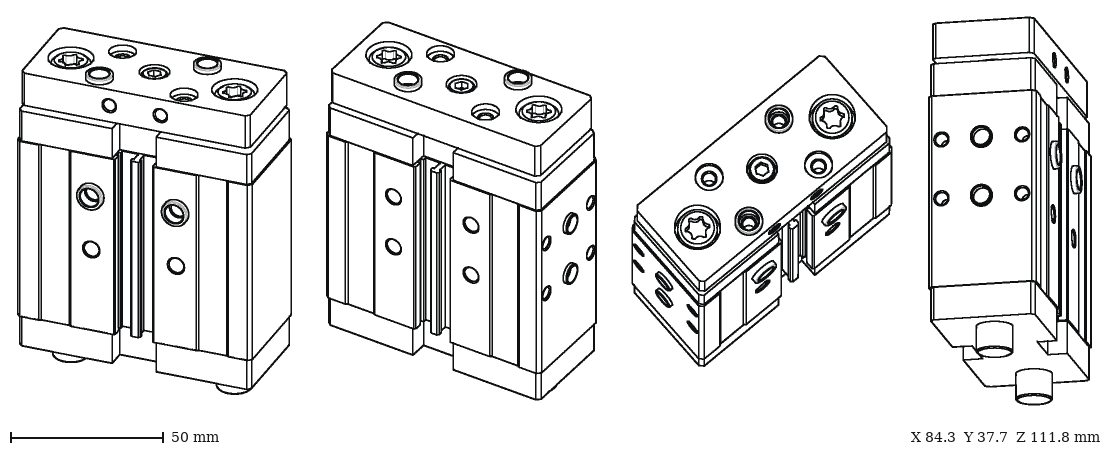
import cadquery as cq
import math


rod_bottom_z = 0.0
rod_stick_out = 8.9
cap_height = 11.1
barrel_height = 65.0
yoke_gap = 2.0
yoke_height = 12.0
bottom_cap_z = rod_bottom_z + rod_stick_out
barrel_z = bottom_cap_z + cap_height
top_cap_z = barrel_z + barrel_height
yoke_z = top_cap_z + cap_height + yoke_gap
yoke_top_z = yoke_z + yoke_height
overall_height = 111.8

barrel_width = 83.0
barrel_depth = 36.0
barrel_chamfer = 1.2
cap_width = 82.0
cap_depth = 35.0
cap_chamfer = 1.2
yoke_width = 80.7
yoke_depth = 34.0
yoke_chamfer = 1.3

cap_slot_width = 15.5
slot_floor_y = 11.5
cap_slot_floor_y = 11.0
slot_lip_half = 6.6
slot_room_half = 7.6
lip_thickness = 3.2
lip_chamfer = 0.5
slot_foot_y = 12.9
rail_stem_half = 1.0
rail_head_half = 1.7
rail_front_y = 16.9
rail_head_length = 1.8
rail_head_chamfer = 0.6

panel_inner_x = 22.1
panel_outer_x = 33.5
panel_depth = 0.5
panel_slope = 0.8

guide_rod_x = 29.0
guide_rod_y = -1.5
guide_rod_diameter = 12.0
guide_rod_chamfer = 0.5
piston_rod_diameter = 7.7
guide_recess_diameter = 15.0
guide_recess_depth = 6.7
guide_head_diameter = 13.0
guide_head_chamfer = 1.0
guide_head_drop = 0.8
lobe_tip_radius = 4.0
lobe_valley_radius = 2.9
lobe_flank_radius = 3.7
lobe_flank_angle = 9.0
lobe_count = 6
lobe_depth = 3.4
piston_recess_diameter = 10.0
piston_recess_depth = 5.6
piston_head_diameter = 8.5
piston_head_chamfer = 0.5
piston_head_drop = 0.6
hex_across_flats = 4.0
hex_depth = 2.5

thread_core_diameter = 4.1
thread_mouth_diameter = 5.0
thread_depth = 8.9
drill_point_angle = 118.0
mount_hole_x = 15.0
through_hole_diameter = 5.3
through_mouth_diameter = 6.0
yoke_hole_ys = (9.0, -11.0)
yoke_side_hole_x = 9.0
upper_hole_z = 70.0
hole_pitch_z = 20.0
hole_zs = (upper_hole_z, upper_hole_z - hole_pitch_z)
side_hole_y = 13.5

large_sleeve_rounding = 0.3
large_sleeve_mouth = 0.2
large_sleeve_diameter = 9.0
large_sleeve_bore = 6.5
large_sleeve_stick_out = overall_height - yoke_top_z
large_recess_depth = 2.2
small_sleeve_diameter = 7.0
small_sleeve_bore = 5.9
small_sleeve_stick_out = 1.3
small_sleeve_edge = 0.2
small_recess_depth = 1.1

UP = cq.Vector(0, 0, 1)
DOWN = cq.Vector(0, 0, -1)
INTO_FRONT = cq.Vector(0, 1, 0)
INTO_BACK = cq.Vector(0, -1, 0)
INTO_SIDE = cq.Vector(1, 0, 0)
barrel_front_y = -barrel_depth / 2
barrel_side_x = -barrel_width / 2


def chamfered_block(width, depth, height, chamfer, bottom_z):
    """Upright block with chamfered vertical edges."""
    block = cq.Workplane("XY").box(width, depth, height, centered=(True, True, False))
    return block.edges("|Z").chamfer(chamfer).translate((0, 0, bottom_z))


def rod(diameter, length, start, direction):
    """Plain cylinder from a start point along a direction."""
    return cq.Workplane(cq.Solid.makeCylinder(diameter / 2, length, cq.Vector(*start), direction))


def cone(start_diameter, end_diameter, length, start, direction):
    return cq.Workplane(
        cq.Solid.makeCone(start_diameter / 2, end_diameter / 2, length, cq.Vector(*start), direction)
    )


def countersink(mouth_diameter, core_diameter, start, direction):
    """45 degree cone at the mouth of a hole."""
    return cone(mouth_diameter, core_diameter, (mouth_diameter - core_diameter) / 2, start, direction)


def threaded_hole(start, direction):
    """Cutter for a blind hole with a countersunk mouth and a drill point."""
    point_length = thread_core_diameter / 2 / math.tan(math.radians(drill_point_angle / 2))
    end = cq.Vector(*start) + direction * thread_depth
    return (
        rod(thread_core_diameter, thread_depth, start, direction)
        .union(countersink(thread_mouth_diameter, thread_core_diameter, start, direction))
        .union(cone(thread_core_diameter, 0, point_length, end.toTuple(), direction))
    )


def mirrored_in_x(half):
    return half.union(half.mirror("YZ"))


def front_and_back(front):
    return front.union(front.mirror("XZ"))


def barrel_slot():
    """Cutter for the front slot: lips, a wider room and a narrow foot around a T-shaped rail."""
    face_y = barrel_front_y
    lip_back_y = face_y + lip_thickness
    rail_head_back_y = -rail_front_y + rail_head_length
    half_outline = [
        (0, face_y),
        (slot_lip_half + lip_chamfer, face_y),
        (slot_lip_half, face_y + lip_chamfer),
        (slot_lip_half, lip_back_y),
        (slot_room_half, lip_back_y),
        (slot_room_half, -slot_foot_y),
        (slot_lip_half, -slot_foot_y),
        (slot_lip_half, -slot_floor_y),
        (rail_stem_half, -slot_floor_y),
        (rail_stem_half, rail_head_back_y),
        (rail_head_half, rail_head_back_y),
        (rail_head_half, -rail_front_y + rail_head_chamfer),
        (rail_head_half - rail_head_chamfer, -rail_front_y),
        (0, -rail_front_y),
    ]
    half = cq.Workplane("XY").workplane(offset=barrel_z).polyline(half_outline).close()
    return mirrored_in_x(half.extrude(barrel_height))


def barrel_panel():
    """Cutter for one shallow panel with sloping sides on the front face."""
    floor_y = barrel_front_y + panel_depth
    outline = [
        (panel_inner_x, barrel_front_y),
        (panel_outer_x, barrel_front_y),
        (panel_outer_x - panel_slope, floor_y),
        (panel_inner_x + panel_slope, floor_y),
    ]
    return cq.Workplane("XY").workplane(offset=barrel_z).polyline(outline).close().extrude(barrel_height)


def make_barrel():
    barrel = chamfered_block(barrel_width, barrel_depth, barrel_height, barrel_chamfer, barrel_z)
    barrel = barrel.cut(front_and_back(barrel_slot()))
    barrel = barrel.cut(front_and_back(mirrored_in_x(barrel_panel())))
    for x in (-guide_rod_x, guide_rod_x):
        barrel = barrel.cut(rod(guide_rod_diameter, barrel_height, (x, guide_rod_y, barrel_z), UP))
    for z in hole_zs:
        for x in (-mount_hole_x, mount_hole_x):
            front = (x, barrel_front_y, z)
            back = (x, -barrel_front_y, z)
            barrel = barrel.cut(rod(through_hole_diameter, barrel_depth, front, INTO_FRONT))
            barrel = barrel.cut(countersink(through_mouth_diameter, through_hole_diameter, front, INTO_FRONT))
            barrel = barrel.cut(countersink(through_mouth_diameter, through_hole_diameter, back, INTO_BACK))
        for y in (-side_hole_y, side_hole_y):
            barrel = barrel.cut(threaded_hole((barrel_side_x, y, z), INTO_SIDE))
        barrel = barrel.cut(rod(small_sleeve_diameter, small_recess_depth, (barrel_side_x, 0, z), INTO_SIDE))
    for x in (-mount_hole_x, mount_hole_x):
        seat = (x, barrel_front_y, upper_hole_z)
        barrel = barrel.cut(rod(large_sleeve_diameter, large_recess_depth, seat, INTO_FRONT))
    return barrel


def make_end_cap(bottom_z):
    """End cap with a slot in the front and back and the two guide rod bores."""
    cap = chamfered_block(cap_width, cap_depth, cap_height, cap_chamfer, bottom_z)
    slot_depth = cap_depth / 2 - cap_slot_floor_y
    slot = cq.Workplane("XY").box(cap_slot_width, slot_depth, cap_height, centered=(True, False, False))
    cap = cap.cut(front_and_back(slot.translate((0, -cap_depth / 2, bottom_z))))
    for x in (-guide_rod_x, guide_rod_x):
        cap = cap.cut(rod(guide_rod_diameter, cap_height, (x, guide_rod_y, bottom_z), UP))
    return cap


def make_top_cap():
    """The top cap also lets the piston rod through."""
    return make_end_cap(top_cap_z).cut(rod(piston_rod_diameter, cap_height, (0, 0, top_cap_z), UP))


def polar_point(radius, angle):
    return (radius * math.cos(math.radians(angle)), radius * math.sin(math.radians(angle)))


def lobed_socket(depth):
    """Cutter for a six-lobed drive socket, one lobe pointing along +Y."""
    lobe_angle = 360 / lobe_count
    first_angle = 90
    outline = cq.Workplane("XY").moveTo(*polar_point(lobe_flank_radius, first_angle - lobe_flank_angle))
    for lobe in range(lobe_count):
        tip_angle = first_angle + lobe * lobe_angle
        outline = outline.threePointArc(
            polar_point(lobe_tip_radius, tip_angle),
            polar_point(lobe_flank_radius, tip_angle + lobe_flank_angle),
        )
        outline = outline.threePointArc(
            polar_point(lobe_valley_radius, tip_angle + lobe_angle / 2),
            polar_point(lobe_flank_radius, tip_angle + lobe_angle - lobe_flank_angle),
        )
    return outline.close().extrude(-depth)


def screw_head(diameter, height, chamfer, socket):
    """Round head whose top face is at Z = 0."""
    head = cq.Workplane("XY").circle(diameter / 2).extrude(-height).faces(">Z").chamfer(chamfer)
    return head.cut(socket)


def guide_screw_head():
    height = guide_recess_depth - guide_head_drop
    return screw_head(guide_head_diameter, height, guide_head_chamfer, lobed_socket(lobe_depth))


def piston_screw_head():
    height = piston_recess_depth - piston_head_drop
    corner_diameter = hex_across_flats / math.cos(math.radians(30))
    socket = cq.Workplane("XY").polygon(6, corner_diameter).extrude(-hex_depth)
    return screw_head(piston_head_diameter, height, piston_head_chamfer, socket)


def make_yoke():
    """Yoke plate, guide rods and piston rod, with screw heads standing in open recesses."""
    yoke = chamfered_block(yoke_width, yoke_depth, yoke_height, yoke_chamfer, yoke_z)

    for x in (-mount_hole_x, mount_hole_x):
        for y in yoke_hole_ys:
            seat_z = yoke_top_z - large_recess_depth
            yoke = yoke.cut(rod(large_sleeve_diameter, large_recess_depth, (x, y, yoke_top_z), DOWN))
            yoke = yoke.cut(rod(thread_core_diameter, yoke_height, (x, y, yoke_top_z), DOWN))
            yoke = yoke.cut(countersink(thread_mouth_diameter, thread_core_diameter, (x, y, seat_z), DOWN))

    for x in (-yoke_side_hole_x, yoke_side_hole_x):
        yoke = yoke.cut(threaded_hole((x, -yoke_depth / 2, yoke_z + yoke_height / 2), INTO_FRONT))

    guide_rod_length = yoke_z - rod_bottom_z
    for x in (-guide_rod_x, guide_rod_x):
        guide_rod = rod(guide_rod_diameter, guide_rod_length, (x, guide_rod_y, rod_bottom_z), UP)
        yoke = yoke.union(guide_rod.faces("<Z").chamfer(guide_rod_chamfer))
        yoke = yoke.cut(rod(guide_recess_diameter, guide_recess_depth, (x, guide_rod_y, yoke_top_z), DOWN))
        yoke = yoke.union(guide_screw_head().translate((x, guide_rod_y, yoke_top_z - guide_head_drop)))

    yoke = yoke.union(rod(piston_rod_diameter, yoke_z - top_cap_z, (0, 0, top_cap_z), UP))
    yoke = yoke.cut(rod(piston_recess_diameter, piston_recess_depth, (0, 0, yoke_top_z), DOWN))
    return yoke.union(piston_screw_head().translate((0, 0, yoke_top_z - piston_head_drop)))


def make_ring(diameter, bore, length):
    """Upright plain ring standing on Z = 0."""
    return cq.Workplane("XY").circle(diameter / 2).circle(bore / 2).extrude(length)


def make_large_sleeve():
    """Ring with a rounded outer and a chamfered inner edge at its top."""
    length = large_recess_depth + large_sleeve_stick_out
    ring = make_ring(large_sleeve_diameter, large_sleeve_bore, length)
    ring = ring.faces(">Z").edges(cq.selectors.RadiusNthSelector(-1)).fillet(large_sleeve_rounding)
    return ring.faces(">Z").edges(cq.selectors.RadiusNthSelector(0)).chamfer(large_sleeve_mouth)


def make_small_sleeve():
    """Ring with a chamfered outer edge at its top."""
    length = small_recess_depth + small_sleeve_stick_out
    ring = make_ring(small_sleeve_diameter, small_sleeve_bore, length)
    return ring.faces(">Z").edges(cq.selectors.RadiusNthSelector(-1)).chamfer(small_sleeve_edge)


def make_yoke_sleeves():
    """Two sleeves on diagonally opposite holes of the yoke."""
    front_y = min(yoke_hole_ys)
    back_y = max(yoke_hole_ys)
    places = [(-mount_hole_x, front_y), (mount_hole_x, back_y)]
    seat_z = yoke_top_z - large_recess_depth
    return [make_large_sleeve().translate((x, y, seat_z)) for x, y in places]


def make_front_sleeves():
    """Two sleeves in the upper holes of the barrel front, facing -Y."""
    facing_front = make_large_sleeve().rotate((0, 0, 0), (1, 0, 0), 90)
    seat_y = barrel_front_y + large_recess_depth
    return [facing_front.translate((x, seat_y, upper_hole_z)) for x in (-mount_hole_x, mount_hole_x)]


def make_side_sleeves():
    """Two small sleeves in the side of the barrel, facing -X."""
    facing_side = make_small_sleeve().rotate((0, 0, 0), (0, 1, 0), -90)
    seat_x = barrel_side_x + small_recess_depth
    return [facing_side.translate((seat_x, 0, z)) for z in hole_zs]


barrel = make_barrel()
bottom_cap = make_end_cap(bottom_cap_z)
top_cap = make_top_cap()
yoke = make_yoke()
sleeves = make_yoke_sleeves() + make_front_sleeves() + make_side_sleeves()

result = cq.Compound.makeCompound(
    [body.solids().val() for body in (barrel, bottom_cap, top_cap, yoke, *sleeves)]
)